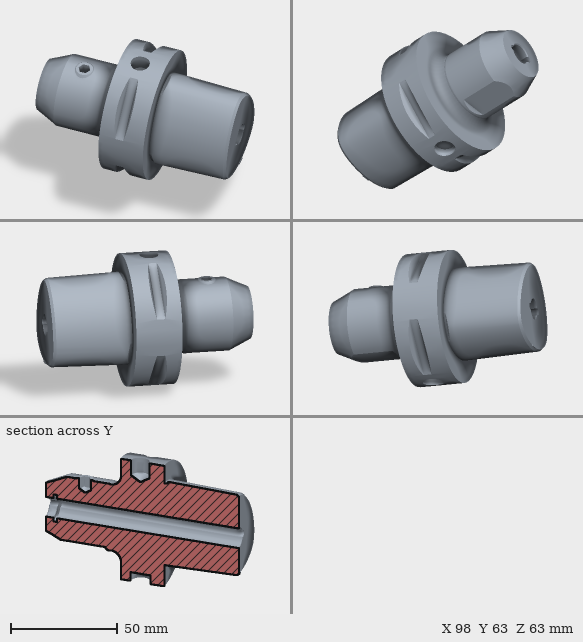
import cadquery as cq
import math

NOSE_TIP_DIAMETER = 25.1
NOSE_DIAMETER = 35.0
NECK_DIAMETER = 34.6
FLANGE_DIAMETER = 63.0
CONE_END = 10.7
NOSE_END = 32.0
NECK_START = 32.9
FLANGE_START = 37.9
FLANGE_END = 60.1
TOTAL_LENGTH = 98.0

FLAT_DISTANCE = 16.1
FLAT_END = 29.9

SHANK_RADIUS = 22.0
SHANK_LOBE = 1.6
SHANK_STRAIGHT_END = 62.0
SHANK_BLEND_END = 62.8
SHANK_CHAMFER_START = 96.4
SHANK_SLOPE = 1 / 40
SHANK_CHAMFER = 1.0
RELIEF_RADIUS = 22.4
RELIEF_LENGTH = 1.0

MARK_HEIGHT = 0.3
MARK_WIDTH = 4.0
MARK_THICKNESS = 0.8
MARK_BOTTOM = -18.7
SHANK_END = TOTAL_LENGTH - MARK_HEIGHT

GROOVE_X = 47.9
GROOVE_FLOOR_WIDTH = 3.8
GROOVE_TOP_WIDTH = 7.6
GROOVE_CORNER = 0.2
GROOVE_FLOOR_DISTANCE = 27.7
INDEX_HOLE_X = 47.8
INDEX_HOLE_DIAMETER = 9.0
INDEX_HOLE_DEPTH = 7.8
DRILL_TIP_ANGLE = 118
CHIP_POCKET_DIAMETER = 10.0
CHIP_POCKET_DEPTH = 4.5

SCREW_X = 20.0
SCREW_TOP = 17.8
SCREW_TOP_DIAMETER = 8.1
SCREW_SKIRT_HEIGHT = 2.0
HEX_ACROSS_FLATS = 5.0
HEX_DEPTH = 5.4

BORE_DIAMETER = 10.0
BORE_CHAMFER = 0.5
SLOT_SPAN = 13.5
SLOT_WIDTH = 3.3
RING_GROOVE_START = 4.1
RING_GROOVE_WIDTH = 1.7
RING_GROOVE_DIAMETER = 13.8


def make_body():
    """Revolve the nose, the neck with its fillet, and the flange."""
    fillet = FLANGE_START - NECK_START
    neck_radius = NECK_DIAMETER / 2
    arc_offset = fillet * math.sin(math.pi / 4)
    fillet_middle = (NECK_START + arc_offset, neck_radius + fillet - arc_offset)
    return (
        cq.Workplane("XY")
        .moveTo(0, 0)
        .lineTo(0, NOSE_TIP_DIAMETER / 2)
        .lineTo(CONE_END, NOSE_DIAMETER / 2)
        .lineTo(NOSE_END, NOSE_DIAMETER / 2)
        .lineTo(NECK_START, neck_radius)
        .threePointArc(fillet_middle, (FLANGE_START, neck_radius + fillet))
        .lineTo(FLANGE_START, FLANGE_DIAMETER / 2)
        .lineTo(FLANGE_END, FLANGE_DIAMETER / 2)
        .lineTo(FLANGE_END, 0)
        .close()
        .revolve(360, (0, 0, 0), (1, 0, 0))
    )


def make_flat_cutter():
    """Material under the nose flat, with a 45 degree run-out at its rear."""
    depth = NOSE_DIAMETER / 2
    return (
        cq.Workplane("XZ")
        .moveTo(0, -FLAT_DISTANCE)
        .lineTo(FLAT_END, -FLAT_DISTANCE)
        .lineTo(FLAT_END + depth, -FLAT_DISTANCE - depth)
        .lineTo(0, -FLAT_DISTANCE - depth)
        .close()
        .extrude(depth, both=True)
        .intersect(cq.Workplane("YZ").circle(NOSE_DIAMETER).extrude(NECK_START))
    )


def lobed_point(angle, radius):
    """Point of the three-lobed curve whose normal is at this angle from +Z."""
    reach = radius + SHANK_LOBE * math.cos(3 * angle)
    shift = -3 * SHANK_LOBE * math.sin(3 * angle)
    y = reach * math.sin(angle) + shift * math.cos(angle)
    z = reach * math.cos(angle) - shift * math.sin(angle)
    return (y, z)


def lobed_wire(x, radius):
    count = 36
    points = [lobed_point(2 * math.pi * i / count, radius) for i in range(count)]
    return cq.Workplane("YZ", origin=(x, 0, 0)).spline(points, periodic=True).close().val()


def make_shank():
    """Stack the straight, blended, tapered and chamfered lengths of the lobed shank."""
    blend_radius = SHANK_RADIUS - (SHANK_BLEND_END - SHANK_STRAIGHT_END) * SHANK_SLOPE / 2
    taper_radius = blend_radius - (SHANK_CHAMFER_START - SHANK_BLEND_END) * SHANK_SLOPE
    stations = [
        (FLANGE_END, SHANK_RADIUS),
        (SHANK_STRAIGHT_END, SHANK_RADIUS),
        (SHANK_BLEND_END, blend_radius),
        (SHANK_CHAMFER_START, taper_radius),
        (SHANK_END, taper_radius - SHANK_CHAMFER),
    ]
    wires = [lobed_wire(x, radius) for x, radius in stations]
    return cq.Workplane(cq.Solid.makeLoft(wires, True))


def make_relief_cutter():
    """Ring behind the flange that trims the three lobes, ending in a 45 degree ramp."""
    height = 2 * SHANK_LOBE
    return (
        cq.Workplane("XY")
        .moveTo(FLANGE_END, RELIEF_RADIUS)
        .lineTo(FLANGE_END + RELIEF_LENGTH, RELIEF_RADIUS)
        .lineTo(FLANGE_END + RELIEF_LENGTH + height, RELIEF_RADIUS + height)
        .lineTo(FLANGE_END, RELIEF_RADIUS + height)
        .close()
        .revolve(360, (0, 0, 0), (1, 0, 0))
    )


def make_end_mark():
    embed = 1.0
    return cq.Workplane("XY").box(
        embed + MARK_HEIGHT, MARK_WIDTH, MARK_THICKNESS, centered=(False, True, False)
    ).translate((SHANK_END - embed, 0, MARK_BOTTOM))


def make_gripper_groove(angle):
    """Trapezoidal groove with bevelled floor corners, turned about X from the +Z side."""
    rim = FLANGE_DIAMETER / 2
    half_floor = GROOVE_FLOOR_WIDTH / 2
    half_corner = half_floor + GROOVE_CORNER
    half_top = GROOVE_TOP_WIDTH / 2
    corner_distance = GROOVE_FLOOR_DISTANCE + GROOVE_CORNER
    return (
        cq.Workplane("XZ", origin=(GROOVE_X, 0, 0))
        .moveTo(-half_floor, GROOVE_FLOOR_DISTANCE)
        .lineTo(half_floor, GROOVE_FLOOR_DISTANCE)
        .lineTo(half_corner, corner_distance)
        .lineTo(half_top, rim)
        .lineTo(-half_top, rim)
        .lineTo(-half_corner, corner_distance)
        .close()
        .extrude(rim, both=True)
        .rotate((0, 0, 0), (1, 0, 0), angle)
    )


def make_index_hole():
    """Blind drilled hole with a conical tip, on the +Z side of the flange."""
    radius = INDEX_HOLE_DIAMETER / 2
    rim = FLANGE_DIAMETER / 2
    floor = rim - INDEX_HOLE_DEPTH
    tip = floor - radius / math.tan(math.radians(DRILL_TIP_ANGLE / 2))
    return (
        cq.Workplane("XZ", origin=(INDEX_HOLE_X, 0, 0))
        .polyline([(0, tip), (radius, floor), (radius, rim), (0, rim)])
        .close()
        .revolve(360, (0, 0, 0), (0, 1, 0))
    )


def make_chip_pocket():
    """Flat-bottomed round pocket on the -Z side of the flange."""
    return (
        cq.Workplane("XY", origin=(GROOVE_X, 0, -FLANGE_DIAMETER / 2))
        .circle(CHIP_POCKET_DIAMETER / 2)
        .extrude(CHIP_POCKET_DEPTH)
    )


def make_screw_head():
    """Raised head of the clamping screw with a 45 degree skirt."""
    top_radius = SCREW_TOP_DIAMETER / 2
    return cq.Workplane(
        cq.Solid.makeCone(
            top_radius + SCREW_SKIRT_HEIGHT,
            top_radius,
            SCREW_SKIRT_HEIGHT,
            pnt=cq.Vector(SCREW_X, 0, SCREW_TOP - SCREW_SKIRT_HEIGHT),
        )
    )


def make_hex_socket():
    """Hexagonal socket with a conical bottom."""
    corner_radius = HEX_ACROSS_FLATS / math.sqrt(3)
    tip_depth = corner_radius / math.tan(math.radians(DRILL_TIP_ANGLE / 2))
    hexagon = (
        cq.Workplane("XY", origin=(SCREW_X, 0, SCREW_TOP))
        .polygon(6, 2 * corner_radius)
        .extrude(-HEX_DEPTH - tip_depth)
    )
    drill = (
        cq.Workplane("XZ", origin=(SCREW_X, 0, SCREW_TOP))
        .moveTo(0, 0)
        .lineTo(corner_radius, 0)
        .lineTo(corner_radius, -HEX_DEPTH)
        .lineTo(0, -HEX_DEPTH - tip_depth)
        .close()
        .revolve(360, (0, 0, 0), (0, 1, 0))
    )
    return hexagon.intersect(drill)


def make_bore():
    """Chamfered through bore with a ring groove and two coolant slots."""
    radius = BORE_DIAMETER / 2
    groove_end = RING_GROOVE_START + RING_GROOVE_WIDTH
    bore = (
        cq.Workplane("XY")
        .moveTo(0, 0)
        .lineTo(0, radius + BORE_CHAMFER)
        .lineTo(BORE_CHAMFER, radius)
        .lineTo(RING_GROOVE_START, radius)
        .lineTo(RING_GROOVE_START, RING_GROOVE_DIAMETER / 2)
        .lineTo(groove_end, RING_GROOVE_DIAMETER / 2)
        .lineTo(groove_end, radius)
        .lineTo(TOTAL_LENGTH, radius)
        .lineTo(TOTAL_LENGTH, 0)
        .close()
        .revolve(360, (0, 0, 0), (1, 0, 0))
    )
    slots = cq.Workplane("YZ").slot2D(SLOT_SPAN, SLOT_WIDTH).extrude(TOTAL_LENGTH)
    return bore.union(slots)


result = make_body().cut(make_flat_cutter())
result = result.union(make_shank().cut(make_relief_cutter()))
result = result.union(make_end_mark()).union(make_screw_head())

for groove_angle in (45, 135, 225, 315):
    result = result.cut(make_gripper_groove(groove_angle))

result = result.cut(make_index_hole()).cut(make_chip_pocket())
result = result.cut(make_hex_socket()).cut(make_bore())